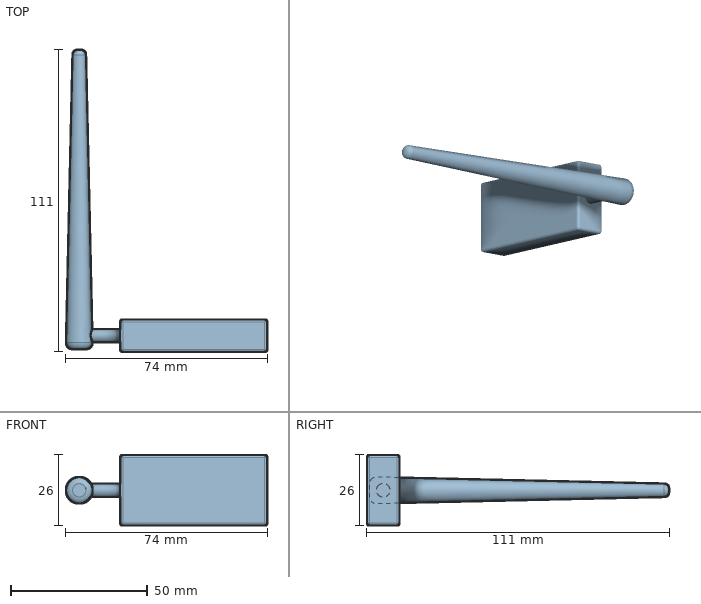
import cadquery as cq

HOUSING_LENGTH = 54.1
HOUSING_DEPTH = 12.0
HOUSING_HEIGHT = 26.0
EDGE_RADIUS = 1.0

ANTENNA_BASE_DIAMETER = 10.0
ANTENNA_TIP_DIAMETER = 5.0
BASE_ROUND_RADIUS = ANTENNA_BASE_DIAMETER / 4
TIP_ROUND_RADIUS = 2.0
ANTENNA_START_Y = 1.0
ANTENNA_END_Y = 111.0

STEM_DIAMETER = 5.0
HOUSING_LEFT_X = 20.0

ANTENNA_X = ANTENNA_BASE_DIAMETER / 2
STEM_Y = HOUSING_DEPTH / 2


def make_housing():
    box = cq.Workplane("XY").box(HOUSING_LENGTH, HOUSING_DEPTH, HOUSING_HEIGHT)
    center_x = HOUSING_LEFT_X + HOUSING_LENGTH / 2
    return box.edges().fillet(EDGE_RADIUS).translate((center_x, HOUSING_DEPTH / 2, 0))


def make_antenna():
    profile = (
        cq.Workplane("XY")
        .moveTo(0, ANTENNA_START_Y)
        .lineTo(ANTENNA_BASE_DIAMETER / 2, ANTENNA_START_Y)
        .lineTo(ANTENNA_TIP_DIAMETER / 2, ANTENNA_END_Y)
        .lineTo(0, ANTENNA_END_Y)
        .close()
    )
    cone = profile.revolve(360, (0, 0, 0), (0, 1, 0))
    rounded = cone.faces("<Y").edges().fillet(BASE_ROUND_RADIUS)
    rounded = rounded.faces(">Y").edges().fillet(TIP_ROUND_RADIUS)
    return rounded.translate((ANTENNA_X, 0, 0))


def make_stem():
    return (
        cq.Workplane("YZ", origin=(ANTENNA_X, 0, 0))
        .center(STEM_Y, 0)
        .circle(STEM_DIAMETER / 2)
        .extrude(HOUSING_LEFT_X - ANTENNA_X)
    )


result = make_housing().union(make_stem()).union(make_antenna())